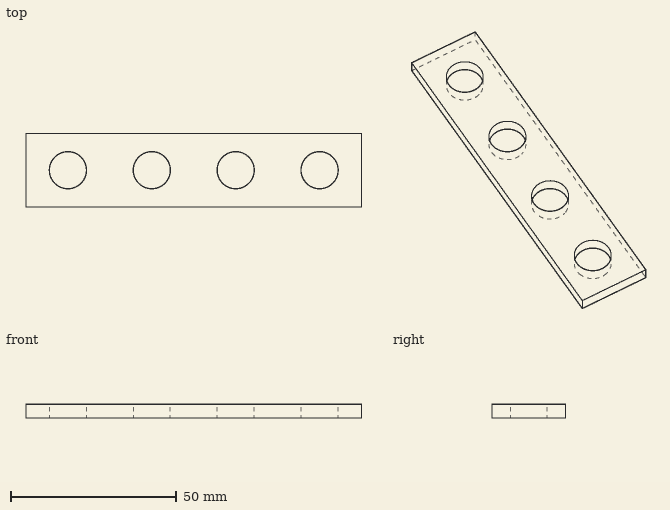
import cadquery as cq

length = 101.6
width = 22.4
thickness = 4.3

hole_count = 4
hole_diameter = 11.2
hole_pitch = length / hole_count

bar = cq.Workplane("XY").box(length, width, thickness)

result = (
    bar.faces(">Z")
    .workplane()
    .rarray(hole_pitch, 1, hole_count, 1)
    .hole(hole_diameter)
)